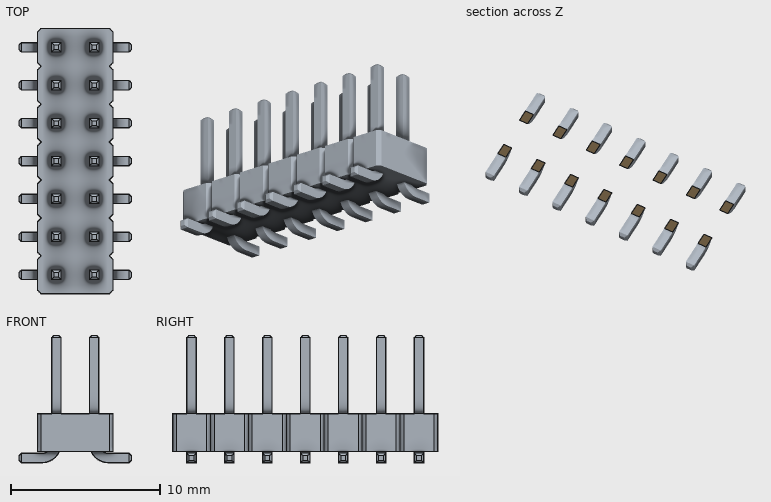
import cadquery as cq

pitch = 2.54
positions = 7
rows = 2

body_width = rows * pitch
body_height = pitch
body_bottom = 0.75
body_chamfer = pitch / 10

pin_width = 0.64
pin_tip_chamfer = pin_width / 4
overall_height = 8.54
overall_width = 7.54
bend_inner_radius = pin_width
bend_outer_radius = bend_inner_radius + pin_width


def position_y(index):
    """Y of the pin pair with the given index, centred on the header."""
    return (index - (positions - 1) / 2) * pitch


def make_body_segment(y):
    """One body block with its four vertical edges chamfered."""
    return (
        cq.Workplane("XY")
        .box(body_width, pitch, body_height, centered=(True, True, False))
        .edges("|Z")
        .chamfer(body_chamfer)
        .translate((0, y, body_bottom))
    )


def make_pin():
    """The pin of the +X row: vertical post, quarter-circle bend and foot towards +X."""
    inner_x = (pitch - pin_width) / 2
    outer_x = inner_x + pin_width
    foot_end_x = overall_width / 2
    bend_x = inner_x + bend_outer_radius
    bend_z = bend_outer_radius
    half_diagonal = 0.5**0.5
    outer_offset = bend_outer_radius * half_diagonal
    inner_offset = bend_inner_radius * half_diagonal
    return (
        cq.Workplane("XZ")
        .moveTo(inner_x, overall_height)
        .lineTo(inner_x, bend_z)
        .threePointArc((bend_x - outer_offset, bend_z - outer_offset), (bend_x, 0))
        .lineTo(foot_end_x, 0)
        .lineTo(foot_end_x, pin_width)
        .lineTo(bend_x, pin_width)
        .threePointArc((bend_x - inner_offset, bend_z - inner_offset), (outer_x, bend_z))
        .lineTo(outer_x, overall_height)
        .close()
        .extrude(pin_width / 2, both=True)
        .faces(">Z or >X")
        .chamfer(pin_tip_chamfer)
    )


right_pin = make_pin()
left_pin = right_pin.mirror("YZ")

result = make_body_segment(position_y(0))
for index in range(1, positions):
    result = result.union(make_body_segment(position_y(index)))
result = result.clean()

for index in range(positions):
    for pin in (left_pin, right_pin):
        result = result.union(pin.translate((0, position_y(index), 0)))